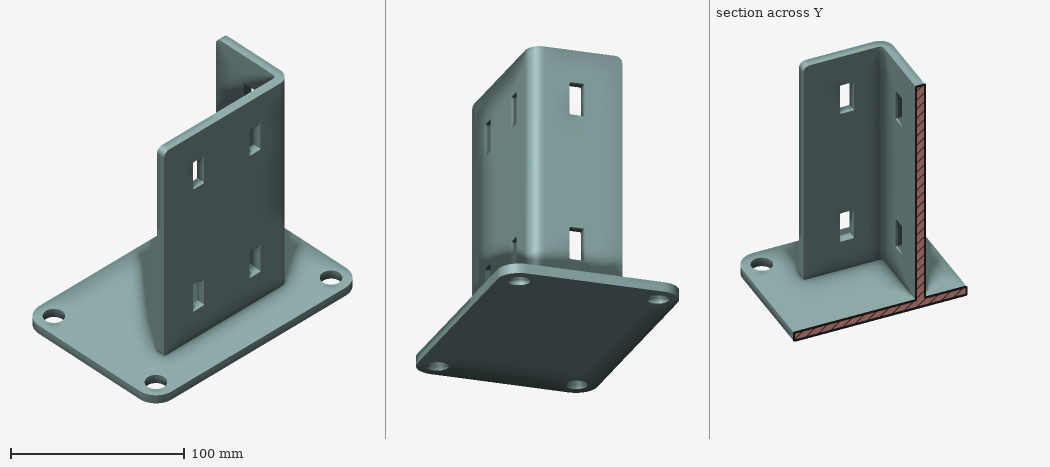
import cadquery as cq

base_x = 110.0
base_y = 165.0
thickness = 6.0
base_corner_radius = 13.0
bolt_diameter = 13.0
bolt_pitch_x = 85.0
bolt_pitch_y = 140.0

total_height = 156.0
wall_height = total_height - thickness
angle_left = -27.5
angle_right = 28.5
angle_front = -50.0
angle_back = 51.2
inner_bend_radius = 2.5
outer_bend_radius = inner_bend_radius + thickness
top_corner_radius = 4.0
bottom_corner_radius = 1.0

slot_width = 8.9
slot_height = 20.0
slot_corner_radius = 0.8
back_slot_x = 0.2
slot_pitch_z = 90.0
slot_pitch_y = 45.0
slot_middle_z = thickness + wall_height / 2


def make_base():
    plate = cq.Workplane("XY").box(base_x, base_y, thickness, centered=(True, True, False))
    plate = plate.edges("|Z").fillet(base_corner_radius)
    return (
        plate.faces(">Z").workplane(origin=(0, 0, 0))
        .rect(bolt_pitch_x, bolt_pitch_y, forConstruction=True)
        .vertices().hole(bolt_diameter)
    )


def make_angle():
    inner_x = angle_right - thickness
    inner_y = angle_back - thickness
    angle = (
        cq.Workplane("XY", origin=(0, 0, thickness))
        .moveTo(angle_left, angle_back)
        .lineTo(angle_right - outer_bend_radius, angle_back)
        .radiusArc((angle_right, angle_back - outer_bend_radius), outer_bend_radius)
        .lineTo(angle_right, angle_front)
        .lineTo(inner_x, angle_front)
        .lineTo(inner_x, inner_y - inner_bend_radius)
        .radiusArc((inner_x - inner_bend_radius, inner_y), -inner_bend_radius)
        .lineTo(angle_left, inner_y)
        .close()
        .extrude(wall_height)
    )
    for leg_end in ("<X", "<Y"):
        angle = angle.faces(leg_end).edges(">Z").fillet(top_corner_radius)
        angle = angle.faces(leg_end).edges("<Z").fillet(bottom_corner_radius)
    return angle


def make_slot_cutters():
    back_slots = (
        cq.Workplane("XY", origin=(back_slot_x, angle_back - thickness / 2, 0))
        .box(slot_width, 2 * thickness, slot_height)
        .edges("|Y").fillet(slot_corner_radius)
    )
    side_slots = (
        cq.Workplane("XY")
        .pushPoints([(angle_right - thickness / 2, side * slot_pitch_y / 2) for side in (-1, 1)])
        .box(2 * thickness, slot_width, slot_height)
        .edges("|X").fillet(slot_corner_radius)
    )
    one_row = back_slots.add(side_slots).combine()
    lower_row = one_row.translate((0, 0, slot_middle_z - slot_pitch_z / 2))
    upper_row = one_row.translate((0, 0, slot_middle_z + slot_pitch_z / 2))
    return lower_row.add(upper_row).combine()


result = make_base().union(make_angle()).cut(make_slot_cutters())